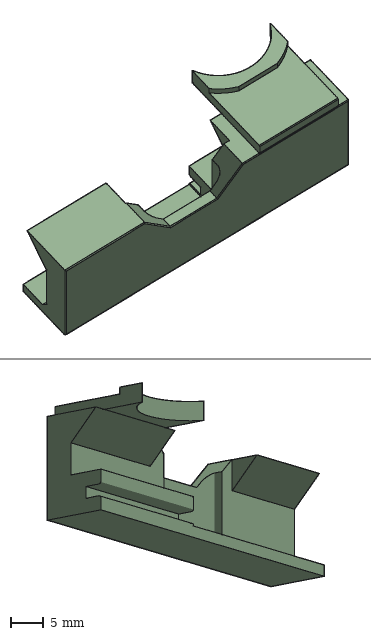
import cadquery as cq

length = 55.5
back_x = 17.5
front_x = 6.55
web_x = 12.55
edge_chamfer = 0.15

base_z = 1.85
body_top = 16.7
overhang_x = 7.55
overhang_z = body_top - (web_x - overhang_x)
foot_chamfer = 1.0

pocket_start = 18.0
pocket_end = 32.45
pocket_x = 15.55
pocket_radius = 1.55
near_overhang_end = 15.5
far_overhang_start = 35.85
notch_bottom_start = 20.6
notch_bottom_end = 29.75
notch_z = 11.7
notch_depth = body_top - notch_z

shelf_z = 6.55
slot_bottom = 2.35
slot_top = 4.2
slot_x = 9.55
slot_rounding = 0.45

plate_center_y = 45.75
plate_half_width = 7.685
plate_top = 18.7
lip_top = 19.8
lip_back_x = 6.9
cradle_depth = 4.9
cradle_radius = 8.3
cradle_center_x = cradle_depth - cradle_radius
lip_radius = 11.0


def box(x_start, x_end, y_start, y_end, z_start, z_end):
    """Block between two opposite corners."""
    size = (x_end - x_start, y_end - y_start, z_end - z_start)
    return cq.Workplane("XY").box(*size, centered=False).translate((x_start, y_start, z_start))


def extrude_along_y(points, y_start, y_end):
    """Solid with an XZ section, running between two Y positions."""
    section = cq.Workplane("XZ", origin=(0, y_start, 0)).polyline(points).close()
    return section.extrude(y_start - y_end)


def disc(radius):
    """Cylinder on the clip axis, taller than the clip."""
    axis_plane = cq.Workplane("XY", origin=(cradle_center_x, plate_center_y, 0))
    return axis_plane.circle(radius).extrude(lip_top)


def make_notch():
    """Trapezoidal gap through the top of the web."""
    outline = [
        (notch_bottom_start, notch_z),
        (notch_bottom_end, notch_z),
        (notch_bottom_end + notch_depth, body_top),
        (notch_bottom_start - notch_depth, body_top),
    ]
    return cq.Workplane("YZ").polyline(outline).close().extrude(back_x)


def make_body():
    """L-section with a foot chamfer, two overhangs and a notched web; its back rim is chamfered."""
    section = [
        (front_x, 0),
        (back_x, 0),
        (back_x, body_top),
        (web_x, body_top),
        (web_x, base_z + foot_chamfer),
        (web_x - foot_chamfer, base_z),
        (front_x, base_z),
    ]
    body = extrude_along_y(section, 0, length)
    overhang = [(web_x, overhang_z), (web_x, body_top), (overhang_x, body_top)]
    for y_start, y_end in [(0, near_overhang_end), (far_overhang_start, length)]:
        body = body.union(extrude_along_y(overhang, y_start, y_end))
    body = body.cut(make_notch())
    back_rim = body.faces(">X").edges()
    return back_rim.chamfer(edge_chamfer)


def make_pocket():
    """Open-fronted recess with rounded inner corners."""
    pocket = box(front_x, pocket_x, pocket_start, pocket_end, base_z, body_top)
    return pocket.edges("|Z and >X").fillet(pocket_radius)


def make_shelf():
    """Shelf with a rounded-mouth slot along its front."""
    shelf = box(front_x, web_x, pocket_end, length, 0, shelf_z)
    slot = box(front_x, slot_x, pocket_end, length, slot_bottom, slot_top)
    slot_mouth = cq.selectors.BoxSelector(
        (front_x - slot_rounding, pocket_end, slot_bottom - slot_rounding),
        (front_x + slot_rounding, length, slot_top + slot_rounding),
    )
    return shelf.cut(slot).edges("|Y").edges(slot_mouth).fillet(slot_rounding)


def make_clip():
    """Plate with a concave front and a raised lip following the curve."""
    y_start = plate_center_y - plate_half_width
    y_end = plate_center_y + plate_half_width
    plate = box(0, back_x, y_start, y_end, body_top, plate_top)
    plate = plate.edges("|Y and >X and >Z").chamfer(edge_chamfer)
    lip = box(0, lip_back_x, y_start, y_end, body_top, lip_top).intersect(disc(lip_radius))
    return plate.union(lip).cut(disc(cradle_radius))


result = make_body().cut(make_pocket()).union(make_shelf()).union(make_clip())